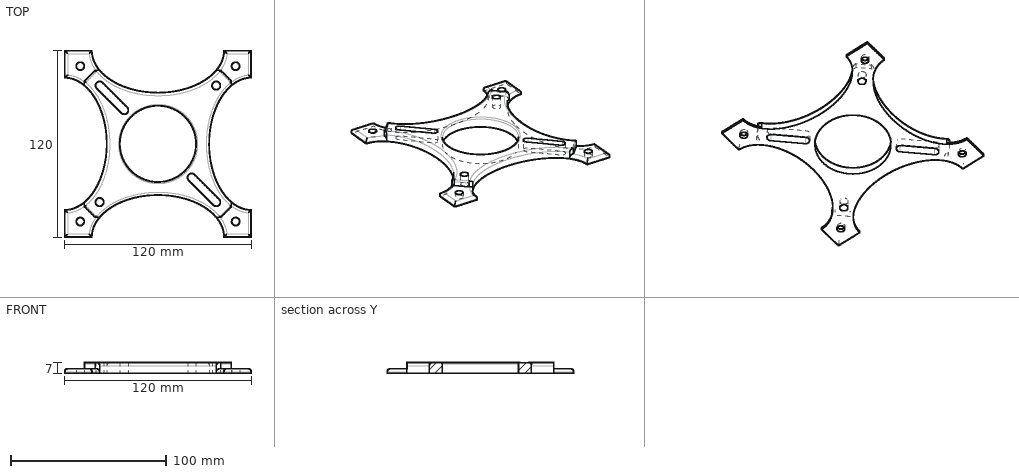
import cadquery as cq
import math

SIDE = 120.0
FOOT_THICKNESS = 3.0
BODY_THICKNESS = 7.0

CUTOUT_HALF_WIDTH = 42.5
CUTOUT_DEPTH = 27.0
RIM_FILLET = 2.0

BODY_SIDE = 94.6
BODY_CORNER_CUT = 6.9
ARM_END_FILLET = 1.0
ARM_END_WIDTH = BODY_CORNER_CUT * math.sqrt(2)
ARM_END_DISTANCE = (BODY_SIDE - BODY_CORNER_CUT) / math.sqrt(2)

BORE_DIAMETER = 49.0
BORE_FILLET = 1.0

FOOT_HOLE_DIAMETER = 5.0
FOOT_HOLE_OFFSET = 50.0
ARM_HOLE_DIAMETER = 5.2
ARM_HOLE_OFFSET = 37.5

SLOT_WIDTH = 5.2
SLOT_OUTER_OFFSET = ARM_HOLE_OFFSET
SLOT_INNER_OFFSET = 21.7

LEVEL_TOLERANCE = 0.1


def edges_at_level(part, level):
    """All edges whose centre lies at the given height."""
    low_corner = (-SIDE, -SIDE, level - LEVEL_TOLERANCE)
    high_corner = (SIDE, SIDE, level + LEVEL_TOLERANCE)
    return part.edges(cq.selectors.BoxSelector(low_corner, high_corner))


def make_blank():
    """Square foot slab carrying the thicker, corner-cut body."""
    slab = cq.Workplane("XY").rect(SIDE, SIDE).extrude(FOOT_THICKNESS)
    body = (
        cq.Workplane("XY")
        .rect(BODY_SIDE, BODY_SIDE)
        .extrude(BODY_THICKNESS)
        .edges("|Z")
        .chamfer(BODY_CORNER_CUT)
    )
    return slab.union(body)


def cut_sides(part):
    """Hollow all four sides with ellipses centred on the side midpoints."""
    cutter = (
        cq.Workplane("XY")
        .center(0, SIDE / 2)
        .ellipse(CUTOUT_HALF_WIDTH, CUTOUT_DEPTH)
        .extrude(BODY_THICKNESS)
    )
    for quarter in range(4):
        part = part.cut(cutter.rotate((0, 0, 0), (0, 0, 1), 90 * quarter))
    return part


def round_rims(part):
    """Round the top of the curved body sides, then the outer top edges of the feet."""
    part = edges_at_level(part, BODY_THICKNESS).edges("not %LINE").fillet(RIM_FILLET)

    foot_edges = edges_at_level(part, FOOT_THICKNESS)
    straight_edges = foot_edges.edges("%LINE")
    outer_edges = straight_edges.edges("<X or >X or <Y or >Y")
    curved_edges = foot_edges.edges("not %LINE")
    return part.newObject(outer_edges.vals() + curved_edges.vals()).fillet(RIM_FILLET)


def round_arm_ends(part):
    """Round the top edge of the flat end wall of each raised arm."""
    fillet_start = ARM_END_DISTANCE - ARM_END_FILLET
    fillet_base = BODY_THICKNESS - ARM_END_FILLET
    corner = (
        cq.Workplane("XZ", origin=(0, ARM_END_WIDTH / 2, 0))
        .moveTo(fillet_start, BODY_THICKNESS)
        .radiusArc((ARM_END_DISTANCE, fillet_base), ARM_END_FILLET)
        .lineTo(ARM_END_DISTANCE, BODY_THICKNESS)
        .close()
        .extrude(ARM_END_WIDTH)
    )
    for quarter in range(4):
        part = part.cut(corner.rotate((0, 0, 0), (0, 0, 1), 45 + 90 * quarter))
    return part


def cut_bore(part):
    """Central through opening with a rounded top edge."""
    part = part.faces(">Z").workplane(origin=(0, 0, 0)).hole(BORE_DIAMETER)
    return part.faces(">Z").edges("%CIRCLE").fillet(BORE_FILLET)


def drill(part, diameter, points):
    """Through holes of one diameter at the given points."""
    drills = cq.Workplane("XY").pushPoints(points).circle(diameter / 2).extrude(BODY_THICKNESS)
    return part.cut(drills)


def drill_holes(part):
    """One hole in every foot, and one in each of the two arms without a slot."""
    foot_points = [(x * FOOT_HOLE_OFFSET, y * FOOT_HOLE_OFFSET) for x in (-1, 1) for y in (-1, 1)]
    arm_points = [(sign * ARM_HOLE_OFFSET, sign * ARM_HOLE_OFFSET) for sign in (-1, 1)]
    part = drill(part, FOOT_HOLE_DIAMETER, foot_points)
    return drill(part, ARM_HOLE_DIAMETER, arm_points)


def cut_slots(part):
    """Through slots running along the (-X, +Y) and (+X, -Y) arms."""
    middle = (SLOT_OUTER_OFFSET + SLOT_INNER_OFFSET) / 2
    centre_distance = (SLOT_OUTER_OFFSET - SLOT_INNER_OFFSET) * math.sqrt(2)
    slots = (
        cq.Workplane("XY")
        .pushPoints([(-middle, middle), (middle, -middle)])
        .slot2D(centre_distance + SLOT_WIDTH, SLOT_WIDTH, angle=-45)
        .extrude(BODY_THICKNESS)
    )
    return part.cut(slots)


plate = cut_sides(make_blank())
plate = round_rims(plate)
plate = round_arm_ends(plate)
plate = cut_bore(plate)
plate = drill_holes(plate)
result = cut_slots(plate)